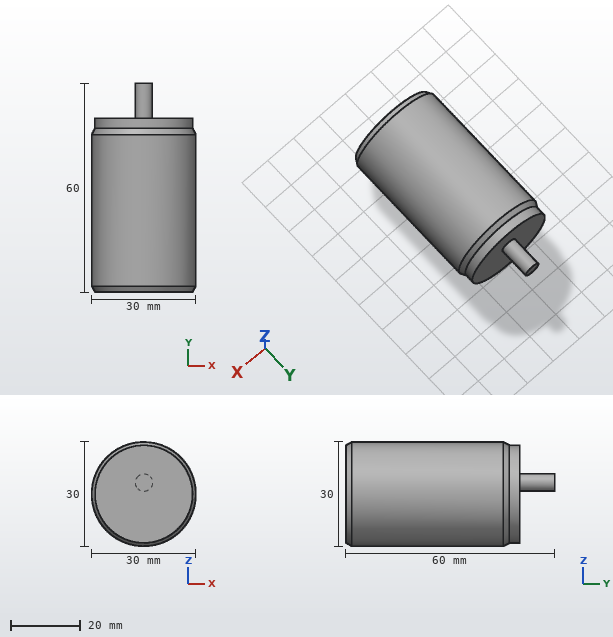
import cadquery as cq

total_length = 60.0
body_diameter = 30.0
rear_diameter = 28.0
collar_diameter = 28.2
taper_length = 1.75
collar_length = 3.0
shaft_diameter = 5.0
shaft_length = 10.0
shaft_offset = 3.35

body_radius = body_diameter / 2
rear_radius = rear_diameter / 2
collar_radius = collar_diameter / 2
housing_length = total_length - shaft_length
collar_start = housing_length - collar_length


def make_housing():
    """Revolve the half outline of the body, its tapers and the collar about Y."""
    outline = [
        (0, 0),
        (rear_radius, 0),
        (body_radius, taper_length),
        (body_radius, collar_start - taper_length),
        (collar_radius, collar_start),
        (collar_radius, housing_length),
        (0, housing_length),
    ]
    return cq.Workplane("XY").polyline(outline).close().revolve(360, (0, 0), (0, 1))


def make_shaft():
    """Eccentric output shaft standing on the collar face."""
    return (
        cq.Workplane("XZ", origin=(0, housing_length, shaft_offset))
        .circle(shaft_diameter / 2)
        .extrude(-shaft_length)
    )


result = make_housing().union(make_shaft())